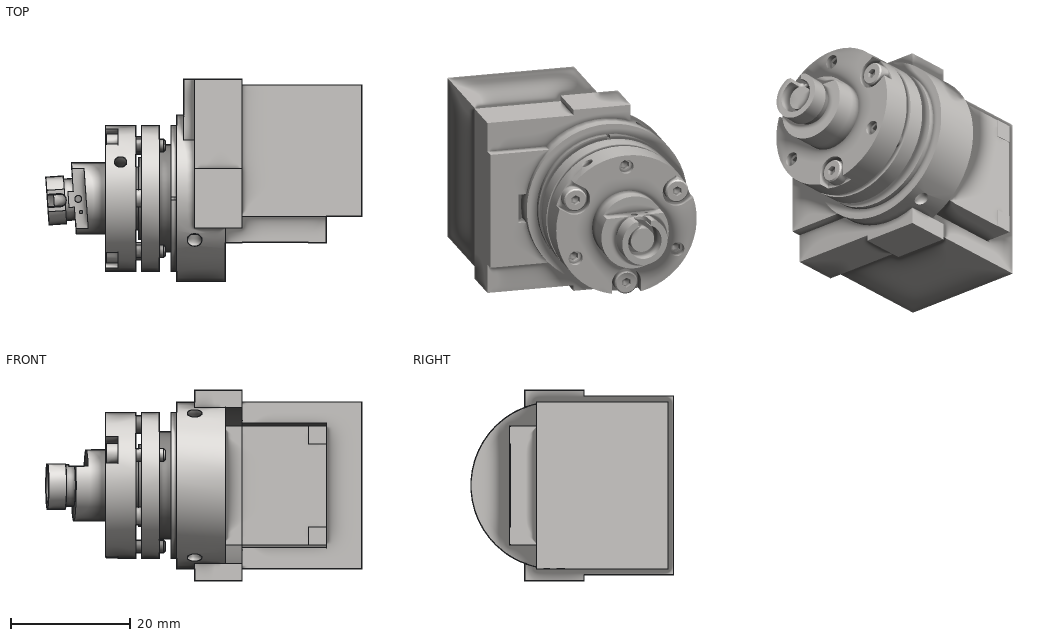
import cadquery as cq
import math


collar_radius = 14.0
collar_length = 8.15
collar_hole_radius = 1.2
collar_hole_depth = 4.0
collar_hole_x = 3.0
collar_hole_angles = (120, 240)
motor_half_height = 9.95
motor_end_x = 25.15
motor_flat_y = -7.4
pad_height = 0.1
pad_size = 3.0

plate_start_x = 1.15
bracket_start_x = 3.0
bracket_end_x = 11.0
bracket_half_height = 15.0
bracket_back_y = 20.0
arm_half_width = 5.0
arm_half_height = 32.0 / 2
block_end_x = 31.1
block_half_height = 14.0
block_front_y = -3.0
block_back_y = 19.05
motor_bore_radius = 10.9
key_notch_half_width = 2.5
key_notch_y = 15.1
key_relief_radius = 14.4
key_relief_depth = 0.55

disc_radius = 12.25
flange_thickness = 0.95
neck_radius = 9.0
neck_length = 1.9
rear_disc_thickness = 3.0
disc_gap = 0.95
front_disc_thickness = 5.1
wide_spacer_radius = 6.9
narrow_spacer_radius = 5.3
spacer_thickness = disc_gap / 2
flange_notch_width = 0.55
flange_notch_depth = 0.55
disc_hole_radius = 1.0
disc_hole_depth = 4.0
disc_hole_angle = 60

flange_x = -flange_thickness
rear_disc_back_x = flange_x - neck_length
rear_disc_front_x = rear_disc_back_x - rear_disc_thickness
front_disc_back_x = rear_disc_front_x - disc_gap
front_disc_face_x = front_disc_back_x - front_disc_thickness
disc_hole_x = front_disc_back_x - front_disc_thickness / 2

bolt_circle_radius = 10.25
clamp_screw_angles = (30, 150, 270)
adjusting_screw_angles = (90, 210, 330)
screw_head_radius = 1.95
screw_head_chamfer = 0.2
pocket_radius = 2.55
pocket_depth = 2.05
shank_radius = 1.05
shank_projection = 1.0
shank_chamfer = 0.3
socket_across_flats = 1.5
socket_depth = 1.0
socket_point_depth = 0.4
adjusting_hole_radius = 1.2
adjusting_hole_depth = 1.0
adjusting_tip_radius = 1.5

tilt_angle = 4
tilt_pivot_x = -15.3
boss_radius = 6.0
boss_face_x = -17.25
boss_flat_z = 3.25
boss_flat_length = 2.05
neck_flat_length = 0.9
connector_length = 4.45
barrel_length = 2.95
barrel_radius = 4.05
barrel_flat_z = 3.6
connector_neck_radius = 3.5
connector_bore_radius = 2.95
connector_bore_depth = 4.0
ferrule_radius = 2.05
ferrule_recess = 1.1
key_slot_width = 2.25
key_slot_length = 3.2
key_slot_floor_z = 2.8
flat_screw_radius = 0.6
flat_screw_inset = 0.75
flat_pin_radius = 0.25
flat_pin_inset = 1.05
flat_pin_y = -2.25
flat_hole_depth = 0.55

rim_x = boss_face_x - connector_length
barrel_back_x = rim_x + barrel_length


def x_cylinder(radius, x_start, x_end, y=0):
    """Cylinder parallel to X, with its axis at height Z = 0."""
    return cq.Workplane("YZ", origin=(x_start, y, 0)).circle(radius).extrude(x_end - x_start)


def block(x_range, y_range, z_range):
    """Axis-aligned box between the given limits."""
    sizes = [high - low for low, high in (x_range, y_range, z_range)]
    corner = (x_range[0], y_range[0], z_range[0])
    return cq.Workplane("XY", origin=corner).box(*sizes, centered=False)


def around_axis(shape, angle):
    """Turn a shape about the X axis, from +Y toward +Z."""
    return shape.rotate((0, 0, 0), (1, 0, 0), angle)


def radial_hole(x, angle, surface_radius, hole_radius, depth):
    """Cutter for a blind hole that points at the X axis."""
    drill = cq.Workplane("XZ", origin=(x, surface_radius, 0)).circle(hole_radius).extrude(depth)
    return around_axis(drill, angle)


def tilted(shape):
    """Tilt a shape built along X by the connector angle."""
    return shape.rotate((tilt_pivot_x, 0, 0), (tilt_pivot_x, 0, 1), tilt_angle)


def hex_socket(x):
    """Cutter for a hexagonal socket with a conical bottom at the bolt circle, on the +Y side."""
    across_corners = socket_across_flats / math.cos(math.radians(30))
    plane = cq.Workplane("YZ", origin=(x, bolt_circle_radius, 0))
    hexagon = plane.polygon(6, across_corners).extrude(socket_depth)
    point_base = cq.Vector(x + socket_depth, bolt_circle_radius, 0)
    point = cq.Solid.makeCone(
        socket_across_flats / 2, 0, socket_point_depth, pnt=point_base, dir=cq.Vector(1, 0, 0)
    )
    return hexagon.union(cq.Workplane(point))


def make_motor():
    collar = x_cylinder(collar_radius, 0, collar_length)
    for angle in collar_hole_angles:
        collar = collar.cut(
            radial_hole(collar_hole_x, angle, collar_radius, collar_hole_radius, collar_hole_depth)
        )

    length = (collar_length, motor_end_x)
    height = (-motor_half_height, motor_half_height)
    body = x_cylinder(motor_bore_radius, *length)
    body = body.intersect(block(length, (0, motor_bore_radius), height))
    body = body.union(block(length, (motor_flat_y, 0), height))

    pad_y = (motor_flat_y - pad_height, motor_flat_y)
    corner_x = (motor_end_x - pad_size, motor_end_x)
    corner_start_z = motor_half_height - pad_size
    body = body.union(block((collar_length, bracket_end_x), pad_y, height))
    body = body.union(block(corner_x, pad_y, (corner_start_z, motor_half_height)))
    body = body.union(block(corner_x, pad_y, (-motor_half_height, -corner_start_z)))
    return collar.union(body)


def make_housing():
    bracket_x = (bracket_start_x, bracket_end_x)
    bracket_z = (-bracket_half_height, bracket_half_height)
    arm_y = (-arm_half_width, arm_half_width)
    bracket = block(bracket_x, (arm_half_width, bracket_back_y), bracket_z)
    bracket = bracket.union(block(bracket_x, arm_y, (-arm_half_height, arm_half_height)))

    plate_x = (plate_start_x, bracket_start_x)
    plate = block(plate_x, (0, bracket_back_y), (-motor_half_height, motor_half_height))
    key_notch_z = (-key_notch_half_width, key_notch_half_width)
    plate = plate.cut(block(plate_x, (0, key_notch_y), key_notch_z))
    front = bracket.union(plate).cut(x_cylinder(collar_radius, plate_start_x, bracket_end_x))

    relief_x = (bracket_start_x, bracket_start_x + key_relief_depth)
    relief = x_cylinder(key_relief_radius, *relief_x)
    front = front.cut(relief.intersect(block(relief_x, (0, key_notch_y), key_notch_z)))

    rear_x = (bracket_end_x, block_end_x)
    rear_z = (-block_half_height, block_half_height)
    rear = block(rear_x, (block_front_y, block_back_y), rear_z)
    rear = rear.cut(x_cylinder(motor_bore_radius, bracket_end_x, motor_end_x))
    return front.union(rear)


def make_disc_stack():
    flange = x_cylinder(disc_radius, flange_x, 0)
    notch_y = (-flange_notch_width / 2, flange_notch_width / 2)
    notch_z = (disc_radius - flange_notch_depth, disc_radius)
    flange = flange.cut(block((flange_x, 0), notch_y, notch_z))

    narrow_spacer_end_x = front_disc_back_x + spacer_thickness
    front_disc = x_cylinder(disc_radius, front_disc_face_x, front_disc_back_x)
    front_disc = front_disc.cut(
        radial_hole(disc_hole_x, disc_hole_angle, disc_radius, disc_hole_radius, disc_hole_depth)
    )
    return (
        flange.union(x_cylinder(neck_radius, rear_disc_back_x, flange_x))
        .union(x_cylinder(disc_radius, rear_disc_front_x, rear_disc_back_x))
        .union(x_cylinder(wide_spacer_radius, narrow_spacer_end_x, rear_disc_front_x))
        .union(x_cylinder(narrow_spacer_radius, front_disc_back_x, narrow_spacer_end_x))
        .union(front_disc)
    )


def add_clamp_screw(stack, angle):
    """Cut an open-sided pocket in the front disc and put a clamp screw in it."""
    pocket_x = (front_disc_face_x, front_disc_face_x + pocket_depth)
    pocket = x_cylinder(pocket_radius, *pocket_x, y=bolt_circle_radius)
    pocket_mouth = block(pocket_x, (bolt_circle_radius, disc_radius), (-pocket_radius, pocket_radius))
    pocket = pocket.union(pocket_mouth)

    head = x_cylinder(screw_head_radius, *pocket_x, y=bolt_circle_radius)
    head = head.faces("<X").chamfer(screw_head_chamfer).cut(hex_socket(front_disc_face_x))
    shank_end_x = rear_disc_back_x + shank_projection
    shank = x_cylinder(shank_radius, pocket_x[1], shank_end_x, y=bolt_circle_radius)
    screw = head.union(shank.faces(">X").chamfer(shank_chamfer))
    return stack.cut(around_axis(pocket, angle)).union(around_axis(screw, angle))


def add_adjusting_screw(stack, angle):
    """Sink an adjusting screw in the front disc, its tip bearing on the rear disc."""
    hole_floor_x = front_disc_face_x + adjusting_hole_depth
    hole = x_cylinder(adjusting_hole_radius, front_disc_face_x, hole_floor_x, y=bolt_circle_radius)
    hole = hole.union(hex_socket(hole_floor_x))
    tip = x_cylinder(adjusting_tip_radius, front_disc_back_x, rear_disc_front_x, y=bolt_circle_radius)
    return stack.cut(around_axis(hole, angle)).union(around_axis(tip, angle))


def make_boss():
    """Round boss with a slanted face, joined to the connector neck, with a flat step on top."""
    boss = x_cylinder(boss_radius, rim_x, front_disc_face_x)
    beyond_face = x_cylinder(2 * boss_radius, rim_x - boss_radius, boss_face_x)
    boss = boss.cut(tilted(beyond_face))
    boss = boss.union(tilted(x_cylinder(connector_neck_radius, barrel_back_x, boss_face_x)))

    step_x = (boss_face_x - neck_flat_length, boss_face_x + boss_flat_length)
    step = block(step_x, (-2 * boss_radius, 2 * boss_radius), (boss_flat_z, 2 * boss_radius))
    flat = cq.Workplane("XY", origin=(boss_face_x, 0, boss_flat_z))
    screw_hole = flat.center(flat_screw_inset, 0).circle(flat_screw_radius).extrude(-flat_hole_depth)
    pin_hole = flat.center(flat_pin_inset, flat_pin_y).circle(flat_pin_radius).extrude(-flat_hole_depth)
    return boss.cut(tilted(step.union(screw_hole).union(pin_hole)))


def add_connector(boss):
    """Add the connector barrel, bore it out and leave the ferrule standing in the bore."""
    barrel_x = (rim_x, barrel_back_x)
    barrel = x_cylinder(barrel_radius, *barrel_x)
    barrel = barrel.cut(block(barrel_x, (-barrel_radius, barrel_radius), (barrel_flat_z, barrel_radius)))

    bore_end_x = rim_x + connector_bore_depth
    bore = x_cylinder(connector_bore_radius, rim_x, bore_end_x)
    ferrule = x_cylinder(ferrule_radius, rim_x + ferrule_recess, bore_end_x)

    slot_end_x = rim_x + key_slot_length - key_slot_width / 2
    slot_y = (-key_slot_width / 2, key_slot_width / 2)
    slot_end = cq.Workplane("XY", origin=(slot_end_x, 0, key_slot_floor_z))
    slot_end = slot_end.circle(key_slot_width / 2).extrude(barrel_radius - key_slot_floor_z)
    slot = block((rim_x, slot_end_x), slot_y, (key_slot_floor_z, barrel_radius)).union(slot_end)
    return boss.union(tilted(barrel)).cut(tilted(bore.union(slot))).union(tilted(ferrule))


def make_head():
    head = make_disc_stack()
    for angle in clamp_screw_angles:
        head = add_clamp_screw(head, angle)
    for angle in adjusting_screw_angles:
        head = add_adjusting_screw(head, angle)
    return head.union(add_connector(make_boss()))


motor = make_motor()
housing = make_housing()
head = make_head()

result = cq.Compound.makeCompound([motor.solids().val(), housing.solids().val(), head.solids().val()])